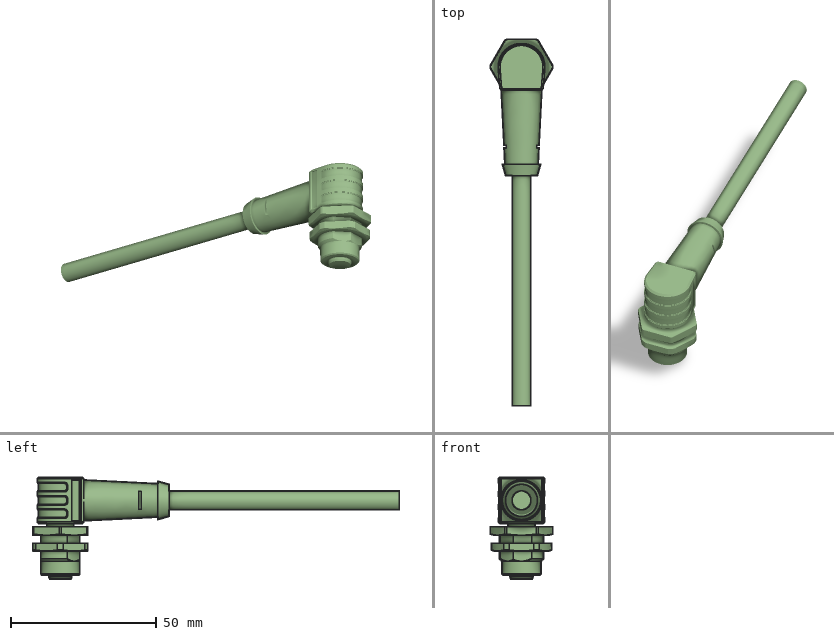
import cadquery as cq
import math


HEAD_RADIUS = 8.03
HEAD_HALF_HEIGHT = 8.0
HEAD_FRONT = 8.1
SIDE_TAPER = math.radians(4.5)
HEAD_CHAMFER = 0.65
CORNER_CHAMFER_WIDTH = 0.45
CORNER_CHAMFER_LENGTH = 0.95

GROOVE_COUNT = 3
GROOVE_PITCH = 4.56
GROOVE_HEIGHT = 3.2
GROOVE_DEPTH = 0.35
GROOVE_END = 2.5
GROOVE_CORNER_RADIUS = 1.1
GROOVE_WALL_CHAMFER = 0.3

RECESS_BACK = 4.0
RECESS_FRONT = 6.9
RECESS_SLOPE = 0.35
RECESS_DEPTH = 0.35
RECESS_HALF_HEIGHT = 6.95

BOOT_ROOT_RADIUS = 7.05
BOOT_END_RADIUS = 5.78
COLLAR_START = 33.5
COLLAR_END = 37.4
COLLAR_ROOT_RADIUS = 6.6
COLLAR_END_RADIUS = 5.5
CABLE_RADIUS = 6.5 / 2
CABLE_END = 116.5
NOTCH_POSITION = 27.4
NOTCH_WIDTH = 0.9
NOTCH_FLOOR = 5.25

NECK_RADIUS = 9.4 / 2
HEX_ACROSS_FLATS = 19.0
COLLAR_HEX_TOP = -9.0
COLLAR_HEX_HEIGHT = 3.0
COLLAR_HEX_DIAMETER = 21.5
LOCKNUT_TOP = -14.7
LOCKNUT_HEIGHT = 2.75
LOCKNUT_DIAMETER = 20.8
HEX_CHAMFER_HEIGHT = 0.4
HEX_FACE_RADIUS = 9.25
THREAD_RADIUS = 15.2 / 2
THREAD_BOTTOM = -20.9
SLEEVE_RADIUS = 13.5 / 2
SLEEVE_BOTTOM = -25.7
SLEEVE_CHAMFER = 0.4
THREAD_CHAMFER = 0.85
THREAD_FLAT_ANGLES = (45, 90, 225, 270)
INSERT_RADIUS = 4.0
INSERT_BOTTOM = -27.02
INSERT_CHAMFER_WIDTH = 0.35
INSERT_CHAMFER_HEIGHT = 0.7


def side_x(y, inset=0.0):
    """Half width of the head's flat side at a given y."""
    return (HEAD_RADIUS - inset) / math.cos(SIDE_TAPER) + y * math.tan(SIDE_TAPER)


def head_prism(inset, half_height):
    """Upright prism of the head's outline, moved inwards by `inset`."""
    radius = HEAD_RADIUS - inset
    tangent_x = radius * math.cos(SIDE_TAPER)
    tangent_y = -radius * math.sin(SIDE_TAPER)
    corner_y = CORNER_CHAMFER_LENGTH - HEAD_FRONT
    corner_x = side_x(corner_y, inset)
    front_x = side_x(-HEAD_FRONT, inset) - CORNER_CHAMFER_WIDTH
    return (
        cq.Workplane("XY")
        .workplane(offset=-half_height)
        .moveTo(-front_x, -HEAD_FRONT)
        .lineTo(front_x, -HEAD_FRONT)
        .lineTo(corner_x, corner_y)
        .lineTo(tangent_x, tangent_y)
        .threePointArc((0, radius), (-tangent_x, tangent_y))
        .lineTo(-corner_x, corner_y)
        .close()
        .extrude(2 * half_height)
    )


def groove_cutter(z):
    """U-shaped band that follows the head's surface around its round end."""
    width = 4 * HEAD_RADIUS
    length = GROOVE_END + 2 * HEAD_RADIUS

    def bar(margin):
        return (
            cq.Workplane("YZ")
            .rect(length - 2 * margin, GROOVE_HEIGHT - 2 * margin)
            .extrude(width / 2, both=True)
            .edges("|X")
            .fillet(GROOVE_CORNER_RADIUS - margin)
            .translate((0, length / 2 - GROOVE_END, z))
        )

    half_depth = GROOVE_DEPTH / 2
    clearance = 1.0
    skin = head_prism(-clearance, HEAD_HALF_HEIGHT)
    outer_band = skin.cut(head_prism(half_depth, HEAD_HALF_HEIGHT)).intersect(bar(0))
    inner_band = skin.cut(head_prism(GROOVE_DEPTH, HEAD_HALF_HEIGHT)).intersect(bar(GROOVE_WALL_CHAMFER))
    return outer_band.union(inner_band)


def recess_cutter():
    """Pocket in the +X side, with a sloping wall at its cable end."""
    floor_end = RECESS_FRONT - RECESS_SLOPE
    clearance = 1.0
    return (
        cq.Workplane("XY")
        .workplane(offset=-RECESS_HALF_HEIGHT)
        .moveTo(side_x(-RECESS_BACK) + clearance, -RECESS_BACK)
        .lineTo(side_x(-RECESS_BACK, RECESS_DEPTH), -RECESS_BACK)
        .lineTo(side_x(-floor_end, RECESS_DEPTH), -floor_end)
        .lineTo(side_x(-RECESS_FRONT), -RECESS_FRONT)
        .lineTo(side_x(-RECESS_FRONT) + clearance, -RECESS_FRONT)
        .close()
        .extrude(2 * RECESS_HALF_HEIGHT)
    )


def make_head():
    """Head with chamfered rims, grip grooves and a recess in each flat side."""
    head = head_prism(0, HEAD_HALF_HEIGHT)
    head = head.faces(">Z or <Z").chamfer(HEAD_CHAMFER)
    for index in range(GROOVE_COUNT):
        z = (index - (GROOVE_COUNT - 1) / 2) * GROOVE_PITCH
        head = head.cut(groove_cutter(z))
    recess = recess_cutter()
    return head.cut(recess).cut(recess.mirror("YZ"))


def make_cable():
    """Boot, collar and cable as one revolved shape with a notch in each side of the boot."""
    cable = (
        cq.Workplane("YZ")
        .lineTo(0, BOOT_ROOT_RADIUS)
        .lineTo(-HEAD_FRONT, BOOT_ROOT_RADIUS)
        .lineTo(-COLLAR_START, BOOT_END_RADIUS)
        .lineTo(-COLLAR_START, COLLAR_ROOT_RADIUS)
        .lineTo(-COLLAR_END, COLLAR_END_RADIUS)
        .lineTo(-COLLAR_END, CABLE_RADIUS)
        .lineTo(-CABLE_END, CABLE_RADIUS)
        .lineTo(-CABLE_END, 0)
        .close()
        .revolve(360, (0, 0, 0), (1, 0, 0))
    )
    for side in (-1, 1):
        notch = cq.Workplane("XY").box(BOOT_ROOT_RADIUS, NOTCH_WIDTH, 2 * BOOT_ROOT_RADIUS)
        center_x = side * (NOTCH_FLOOR + BOOT_ROOT_RADIUS / 2)
        cable = cable.cut(notch.translate((center_x, -NOTCH_POSITION, 0)))
    return cable


def rod(radius, top, bottom):
    """Upright cylinder on the plug axis."""
    return cq.Workplane("XY").workplane(offset=bottom).circle(radius).extrude(top - bottom)


def hex_ring(top, height, diameter):
    """Hexagon with flats at +Y and -Y, corners turned round and lower edge chamfered."""
    bottom = top - height
    hexagon = (
        cq.Workplane("XY")
        .workplane(offset=bottom)
        .polygon(6, HEX_ACROSS_FLATS / math.cos(math.pi / 6))
        .extrude(height)
    )
    turned = (
        cq.Workplane("XZ")
        .moveTo(0, top)
        .lineTo(diameter / 2, top)
        .lineTo(diameter / 2, bottom + HEX_CHAMFER_HEIGHT)
        .lineTo(HEX_FACE_RADIUS, bottom)
        .lineTo(0, bottom)
        .close()
        .revolve(360, (0, 0, 0), (0, 1, 0))
    )
    return hexagon.intersect(turned)


def make_thread():
    """Threaded barrel, with flats level with the sleeve below it."""
    thread = rod(THREAD_RADIUS, COLLAR_HEX_TOP, THREAD_BOTTOM).faces("<Z").chamfer(THREAD_CHAMFER)
    size = 4 * THREAD_RADIUS
    for angle in THREAD_FLAT_ANGLES:
        block = cq.Workplane("XY").box(size, size, 4 * size).translate((SLEEVE_RADIUS + size / 2, 0, 0))
        thread = thread.cut(block.rotate((0, 0, 0), (0, 0, 1), angle))
    return thread


def make_plug():
    """Neck, threaded barrel, sleeve, insert and both hexagons."""
    neck = rod(NECK_RADIUS, 0, COLLAR_HEX_TOP)
    sleeve = rod(SLEEVE_RADIUS, COLLAR_HEX_TOP, SLEEVE_BOTTOM).faces("<Z").chamfer(SLEEVE_CHAMFER)
    insert = rod(INSERT_RADIUS, COLLAR_HEX_TOP, INSERT_BOTTOM)
    insert = insert.faces("<Z").chamfer(INSERT_CHAMFER_HEIGHT, INSERT_CHAMFER_WIDTH)
    collar_hex = hex_ring(COLLAR_HEX_TOP, COLLAR_HEX_HEIGHT, COLLAR_HEX_DIAMETER)
    locknut = hex_ring(LOCKNUT_TOP, LOCKNUT_HEIGHT, LOCKNUT_DIAMETER)
    plug = neck.union(make_thread())
    for piece in (sleeve, insert, collar_hex, locknut):
        plug = plug.union(piece)
    return plug


result = make_head().union(make_cable()).union(make_plug())